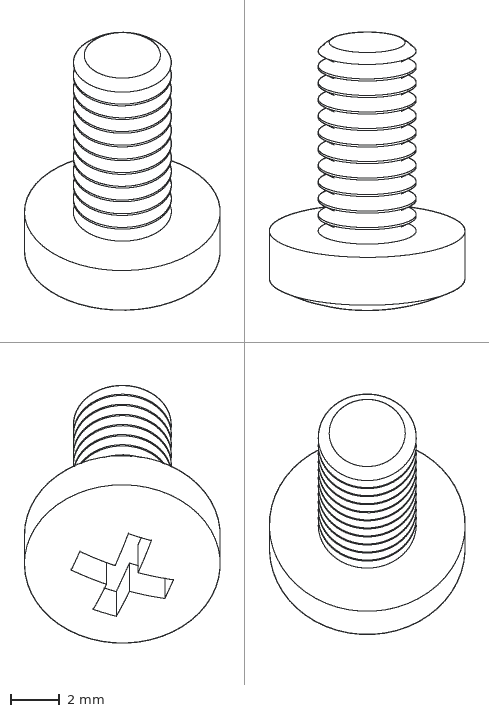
import cadquery as cq
import math

TOTAL_LENGTH = 11.03
HEAD_DIAMETER = 8.0
SHANK_LENGTH = 8.0
HEAD_RIM_HEIGHT = 2.03

RECESS_WIDTH = 1.0
RECESS_SPAN = 4.08
RECESS_DEPTH = 1.99

THREAD_DIAMETER = 4.0
PITCH = 0.7
RING_COUNT = 10
FLANK_ANGLE = 30.0
CREST_FLAT = PITCH / 8
ROOT_WIDTH = PITCH / 5
TIP_CHAMFER = 0.24

head_radius = HEAD_DIAMETER / 2
face_z = TOTAL_LENGTH - SHANK_LENGTH
rim_z = face_z - HEAD_RIM_HEIGHT

crest_radius = THREAD_DIAMETER / 2
flank_height = (PITCH - CREST_FLAT - ROOT_WIDTH) / 2
flank_angle = math.radians(FLANK_ANGLE)
flank_depth = flank_height / math.tan(flank_angle)

root_edge_radius = crest_radius - flank_depth
root_arc_radius = ROOT_WIDTH / (2 * math.cos(flank_angle))
root_arc_center = root_edge_radius + root_arc_radius * math.sin(flank_angle)


def root_radius_at(offset):
    """Shank radius in a groove root, at an axial offset from the middle of the root."""
    return root_arc_center - math.sqrt(root_arc_radius**2 - offset**2)



def make_head():
    """Cylindrical rim over a spherical dome, with the cross recess cut from below."""
    corner_radius = RECESS_WIDTH / math.sqrt(2)
    center_z = (head_radius**2 + rim_z**2 - corner_radius**2) / (2 * rim_z)
    dome_radius = math.hypot(corner_radius, center_z)
    apex_z = center_z - dome_radius
    mid_radius = head_radius / 2
    mid_z = center_z - math.sqrt(dome_radius**2 - mid_radius**2)
    head = (
        cq.Workplane("XZ")
        .moveTo(0, apex_z)
        .threePointArc((mid_radius, mid_z), (head_radius, rim_z))
        .lineTo(head_radius, face_z)
        .lineTo(0, face_z)
        .close()
        .revolve(360, (0, 0, 0), (0, 1, 0))
    )
    floor = cq.Workplane("XY").workplane(offset=apex_z)
    arm_x = floor.rect(RECESS_SPAN, RECESS_WIDTH).extrude(RECESS_DEPTH)
    arm_y = floor.rect(RECESS_WIDTH, RECESS_SPAN).extrude(RECESS_DEPTH)
    return head.cut(arm_x).cut(arm_y)


def make_threaded_shank():
    """Ring-grooved shank with a chamfered last crest, ending inside a groove root."""
    profile = cq.Workplane("XZ").moveTo(0, face_z).lineTo(crest_radius, face_z)
    for ring in range(RING_COUNT + 1):
        groove_z = face_z + ring * PITCH
        root_z = groove_z + flank_height
        if ring > 0:
            profile = profile.lineTo(crest_radius, groove_z)
        profile = (
            profile.lineTo(root_edge_radius, root_z)
            .threePointArc(
                (root_radius_at(0), root_z + ROOT_WIDTH / 2),
                (root_edge_radius, root_z + ROOT_WIDTH),
            )
            .lineTo(crest_radius, groove_z + PITCH - CREST_FLAT)
        )

    last_crest_z = face_z + (RING_COUNT + 1) * PITCH
    chamfer_end_z = last_crest_z + TIP_CHAMFER * math.tan(flank_angle)
    last_root_z = last_crest_z + flank_height
    end_offset = TOTAL_LENGTH - last_root_z - ROOT_WIDTH / 2
    mid_offset = (end_offset - ROOT_WIDTH / 2) / 2
    return (
        profile.lineTo(crest_radius - TIP_CHAMFER, chamfer_end_z)
        .lineTo(root_edge_radius, last_root_z)
        .threePointArc(
            (root_radius_at(mid_offset), last_root_z + ROOT_WIDTH / 2 + mid_offset),
            (root_radius_at(end_offset), TOTAL_LENGTH),
        )
        .lineTo(0, TOTAL_LENGTH)
        .close()
        .revolve(360, (0, 0, 0), (0, 1, 0))
    )


result = make_head().union(make_threaded_shank())